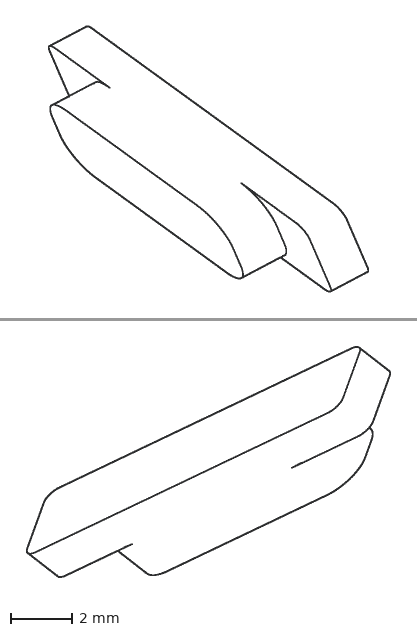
import cadquery as cq
import math

height = 3.4
lean_angle = 20.0
lean = height * math.tan(math.radians(lean_angle))

flange_width = 13.1
flange_depth = 1.6
flange_corner_radius = 0.5

boss_width = 9.1
boss_depth = 1.86
boss_corner_radius = 1.25


def leaning_plate(width, depth, corner_radius, front_y):
    """Rounded rectangle along Y, cut by parallel leaning faces; front_y is its front top edge."""
    back_y = front_y + depth
    bar = (
        cq.Workplane("XY")
        .box(width, depth + lean, height)
        .edges("|Y")
        .fillet(corner_radius)
        .translate((0, (front_y + back_y + lean) / 2, 0))
    )
    slab = (
        cq.Workplane("YZ")
        .moveTo(front_y, height / 2)
        .lineTo(back_y, height / 2)
        .lineTo(back_y + lean, -height / 2)
        .lineTo(front_y + lean, -height / 2)
        .close()
        .extrude(width / 2, both=True)
    )
    return bar.intersect(slab)


boss = leaning_plate(boss_width, boss_depth, boss_corner_radius, front_y=0)
flange = leaning_plate(flange_width, flange_depth, flange_corner_radius, front_y=boss_depth)

result = flange.union(boss)